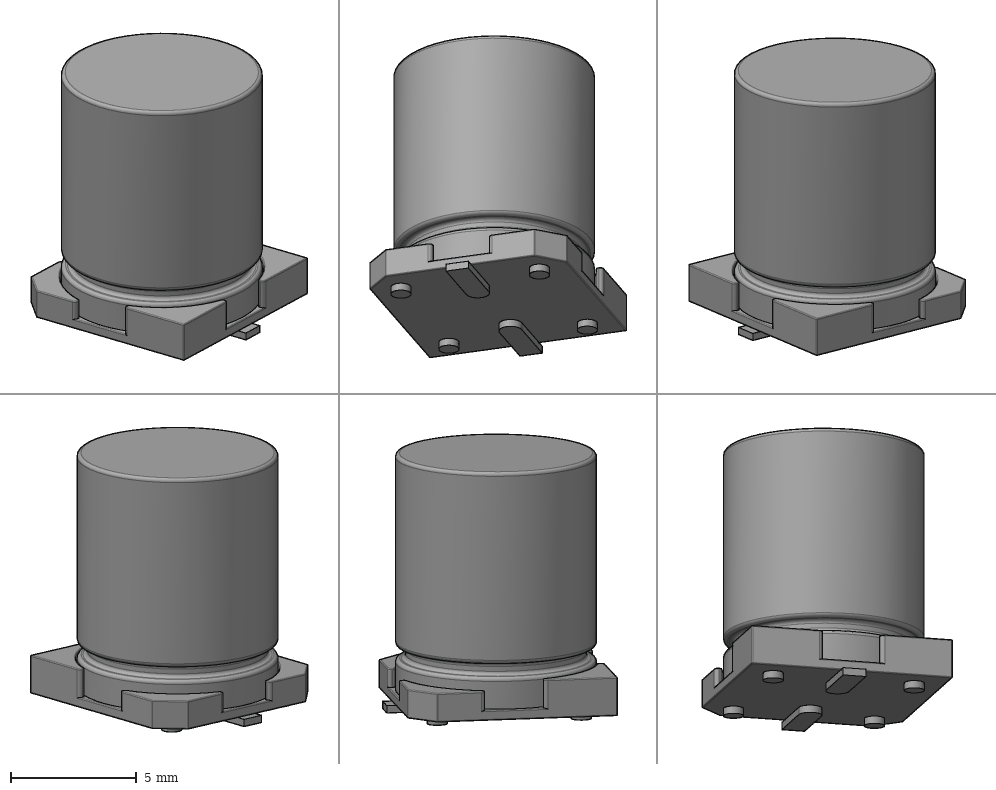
import cadquery as cq
import math

total_height = 10.3
terminal_span = 9.0

base_size = 8.3
base_bottom = 0.3
notch_floor = 0.7
low_post_top = 1.46
high_post_top = 1.86
corner_cut = 1.02
notch_width = 2.39
notch_edge_radius = 0.15
recess_edge_radius = 0.1
edge_break = 0.04
recess_diameter = 8.13

can_diameter = 8.0
groove_diameter = 7.2
groove_bottom = 1.99
groove_top = 2.51
rim_radius = 0.16
can_top_radius = 0.15

terminal_width = 0.94
terminal_inner_end = 1.53
foot_diameter = 0.8
foot_offset = 2.91

half_base = base_size / 2
recess_radius = recess_diameter / 2
can_radius = can_diameter / 2
groove_radius = groove_diameter / 2


def base_block(top):
    """Square block with its two -X corners cut off, standing from the base bottom up to the given height."""
    return (
        cq.Workplane("XY", origin=(0, 0, base_bottom))
        .rect(base_size, base_size)
        .extrude(top - base_bottom)
        .edges("|Z and <X")
        .chamfer(corner_cut)
        .edges("|Z")
        .fillet(edge_break)
    )


def corner_post(x_side, y_side, top):
    """One corner of the base block, rounded where it meets the two notches and hollowed for the can."""
    size = half_base - notch_width / 2
    center = half_base - size / 2
    corner_box = (
        cq.Workplane("XY", origin=(x_side * center, y_side * center, base_bottom))
        .rect(size, size)
        .extrude(top - base_bottom)
    )
    post = base_block(top).intersect(corner_box)

    recess = (
        cq.Workplane("XY", origin=(0, 0, base_bottom))
        .circle(recess_radius)
        .extrude(top - base_bottom)
    )
    post = post.cut(recess)

    middle = (base_bottom + top) / 2
    wall = notch_width / 2
    recess_reach = math.sqrt(recess_radius**2 - wall**2)
    for reach, radius in ((half_base, notch_edge_radius), (recess_reach, recess_edge_radius)):
        for x, y in ((reach, wall), (wall, reach)):
            wall_edge = cq.selectors.NearestToPointSelector((x_side * x, y_side * y, middle))
            post = post.edges(wall_edge).fillet(radius)

    return post.faces("<Z or >Z").edges().fillet(edge_break)


def base():
    """Base plate with two low posts at -X and two high posts at +X, separated by notches."""
    body = base_block(notch_floor).faces("<Z or >Z").edges().fillet(edge_break)
    for y_side in (-1, 1):
        body = body.union(corner_post(-1, y_side, low_post_top))
        body = body.union(corner_post(1, y_side, high_post_top))
    return body


def can():
    """Revolved can with a rolled groove near its foot."""
    profile = (
        cq.Workplane("XZ")
        .moveTo(0, notch_floor)
        .lineTo(can_radius, notch_floor)
        .lineTo(can_radius, groove_bottom - rim_radius)
        .radiusArc((can_radius - rim_radius, groove_bottom), -rim_radius)
        .lineTo(groove_radius + rim_radius, groove_bottom)
        .radiusArc((groove_radius, groove_bottom + rim_radius), rim_radius)
        .lineTo(groove_radius, groove_top - rim_radius)
        .radiusArc((groove_radius + rim_radius, groove_top), rim_radius)
        .lineTo(can_radius - rim_radius, groove_top)
        .radiusArc((can_radius, groove_top + rim_radius), -rim_radius)
        .lineTo(can_radius, total_height - can_top_radius)
        .radiusArc((can_radius - can_top_radius, total_height), -can_top_radius)
        .lineTo(0, total_height)
        .close()
    )
    return profile.revolve(360, (0, 0, 0), (0, 1, 0))


def terminal(x_side):
    """Flat strip with a half-round inner end."""
    strip_start = terminal_inner_end + terminal_width / 2
    strip_end = terminal_span / 2
    return (
        cq.Workplane("XY")
        .moveTo(x_side * strip_end, -terminal_width / 2)
        .lineTo(x_side * strip_start, -terminal_width / 2)
        .threePointArc((x_side * terminal_inner_end, 0), (x_side * strip_start, terminal_width / 2))
        .lineTo(x_side * strip_end, terminal_width / 2)
        .close()
        .extrude(base_bottom)
    )


def feet():
    """Four round standoffs under the base corners."""
    return (
        cq.Workplane("XY")
        .rect(2 * foot_offset, 2 * foot_offset, forConstruction=True)
        .vertices()
        .circle(foot_diameter / 2)
        .extrude(base_bottom)
    )


result = base().union(can()).union(feet())
for side in (-1, 1):
    result = result.union(terminal(side))